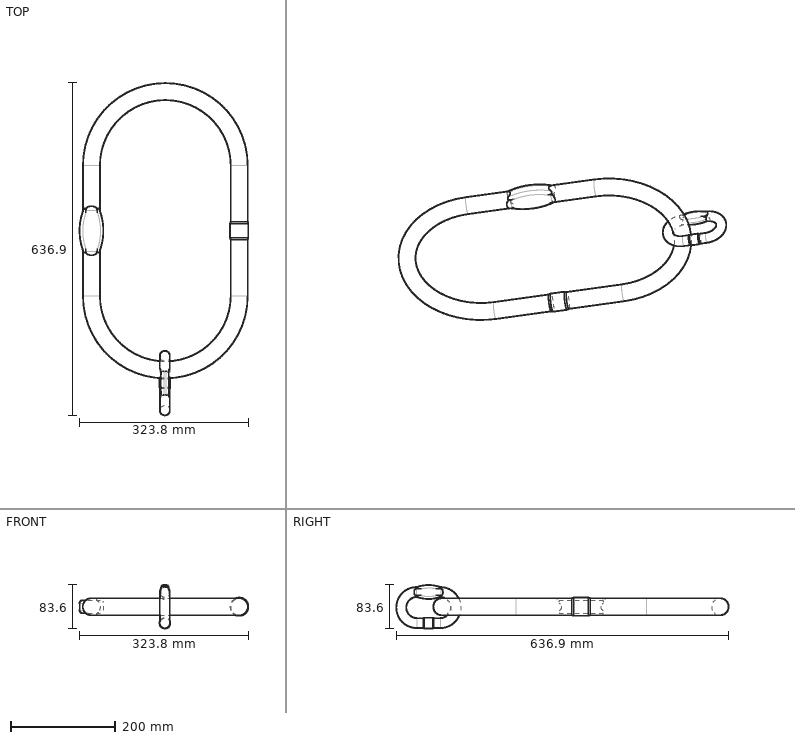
import cadquery as cq
import math

MASTER_WIRE_D = 33.0
MASTER_INNER_LENGTH = 500.0
MASTER_INNER_WIDTH = 250.0
MASTER_WELD_D = 35.48
MASTER_GRIP_FILLET = 6.0

COUPLING_WIRE_D = 19.5
COUPLING_INNER_LENGTH = 85.0
COUPLING_INNER_WIDTH = 40.0
COUPLING_WELD_D = 20.96
COUPLING_GRIP_FILLET = 5.4
COUPLING_CENTRE_X = -0.9
COUPLING_CENTRE_Z = -1.565
HOOK_PLAY_Y = 0.57

WELD_CREST_LENGTH = 0.82
WELD_TOTAL_LENGTH = 1.05
GRIP_WIDTH = 1.396
GRIP_THICKNESS = 0.76
GRIP_LENGTH = 2.58
GRIP_ARC_CHORD = 2.27
FLAT_FLOOR_LENGTH = 2.38
FLAT_TOTAL_LENGTH = 2.84


def bent_wire(wire_d, straight, bend_radius):
    """Round wire bent into an oval whose straight legs run along Y."""
    half = straight / 2
    path = (
        cq.Workplane("XY")
        .moveTo(bend_radius, -half)
        .lineTo(bend_radius, half)
        .threePointArc((0, half + bend_radius), (-bend_radius, half))
        .lineTo(-bend_radius, -half)
        .threePointArc((0, -half - bend_radius), (bend_radius, -half))
        .close()
    )
    section = cq.Workplane("XZ", origin=(bend_radius, -half, 0)).circle(wire_d / 2)
    return section.sweep(path)


def weld_bead(wire_d, weld_d, leg_x):
    """Raised weld ring with tapered ends, around the leg at leg_x."""
    half_crest = WELD_CREST_LENGTH * wire_d / 2
    half_total = WELD_TOTAL_LENGTH * wire_d / 2
    profile = [
        (0, -half_total),
        (wire_d / 2, -half_total),
        (weld_d / 2, -half_crest),
        (weld_d / 2, half_crest),
        (wire_d / 2, half_total),
        (0, half_total),
    ]
    bead = cq.Workplane("XY").polyline(profile).close().revolve(360, (0, 0, 0), (0, 1, 0))
    return bead.translate((leg_x, 0, 0))


def flat_cutter(wire_d, leg_x):
    """Two prisms that flatten the wire above and below, with concave run-outs at the ends."""
    wire_r = wire_d / 2
    floor_z = GRIP_THICKNESS * wire_d / 2
    half_floor = FLAT_FLOOR_LENGTH * wire_d / 2
    half_top = FLAT_TOTAL_LENGTH * wire_d / 2
    quarter = (
        cq.Workplane("YZ", origin=(leg_x, 0, 0))
        .moveTo(0, wire_r)
        .lineTo(0, floor_z)
        .lineTo(half_floor, floor_z)
        .tangentArcPoint((half_top, wire_r), relative=False)
        .close()
        .extrude(wire_r, both=True)
    )
    upper = quarter.union(quarter.mirror("XZ"))
    return upper.union(upper.mirror("XY"))


def grip_bulge(wire_d, leg_x, edge_fillet):
    """Barrel-shaped plate that widens the flattened wire, with rounded long edges."""
    crest = GRIP_WIDTH * wire_d / 2
    half_length = GRIP_LENGTH * wire_d / 2
    half_chord = GRIP_ARC_CHORD * wire_d / 2
    rise = crest - wire_d / 2
    arc_radius = (half_chord**2 + rise**2) / (2 * rise)
    end = crest - arc_radius + math.sqrt(arc_radius**2 - half_length**2)
    return (
        cq.Workplane("XY")
        .moveTo(-end, -half_length)
        .lineTo(end, -half_length)
        .threePointArc((crest, 0), (end, half_length))
        .lineTo(-end, half_length)
        .threePointArc((-crest, 0), (-end, -half_length))
        .close()
        .extrude(GRIP_THICKNESS * wire_d / 2, both=True)
        .edges("%CIRCLE")
        .fillet(edge_fillet)
        .translate((leg_x, 0, 0))
    )


def chain_link(wire_d, inner_length, inner_width, weld_d, grip_fillet):
    """Oval link in the XY plane with its grip on the -X leg and its weld on the +X leg."""
    leg_x = (inner_width + wire_d) / 2
    link = bent_wire(wire_d, inner_length - inner_width, leg_x)
    link = link.cut(flat_cutter(wire_d, -leg_x))
    link = link.union(grip_bulge(wire_d, -leg_x, grip_fillet))
    return link.union(weld_bead(wire_d, weld_d, leg_x))


master_link = chain_link(
    MASTER_WIRE_D, MASTER_INNER_LENGTH, MASTER_INNER_WIDTH, MASTER_WELD_D, MASTER_GRIP_FILLET
)

coupling_centre_y = -(MASTER_INNER_LENGTH + COUPLING_INNER_LENGTH) / 2 + HOOK_PLAY_Y
coupling_link = (
    chain_link(
        COUPLING_WIRE_D,
        COUPLING_INNER_LENGTH,
        COUPLING_INNER_WIDTH,
        COUPLING_WELD_D,
        COUPLING_GRIP_FILLET,
    )
    .rotate((0, 0, 0), (0, 1, 0), 90)
    .translate((COUPLING_CENTRE_X, coupling_centre_y, COUPLING_CENTRE_Z))
)

result = cq.Compound.makeCompound([*master_link.solids().vals(), *coupling_link.solids().vals()])